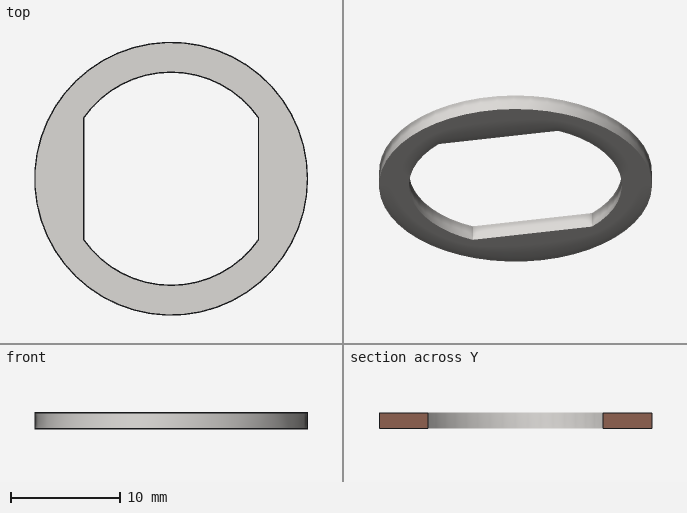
import cadquery as cq

outer_diameter = 25.0
thickness = 1.5
hole_diameter = 19.5
flat_spacing = 16.0


def double_d_cutter():
    """Round bore trimmed by two flats parallel to the YZ plane."""
    bore = cq.Workplane("XY").circle(hole_diameter / 2).extrude(thickness)
    between_flats = (
        cq.Workplane("XY").rect(flat_spacing, hole_diameter).extrude(thickness)
    )
    return bore.intersect(between_flats)


washer = cq.Workplane("XY").circle(outer_diameter / 2).extrude(thickness)
result = washer.cut(double_d_cutter())